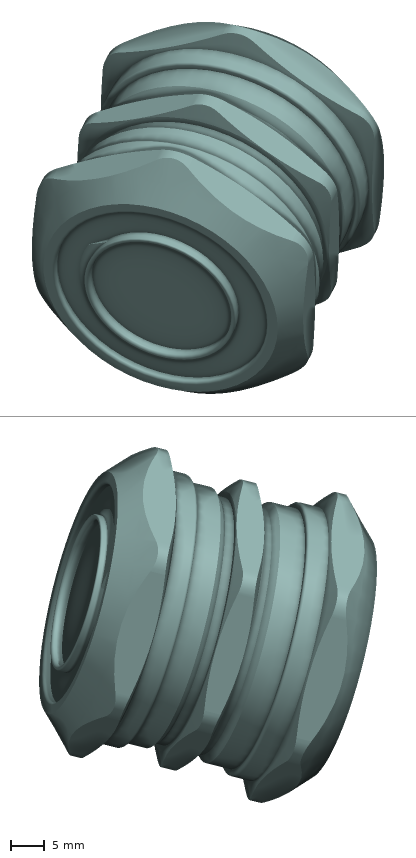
import cadquery as cq
import math


nut_tip_radius = 24.05
nut_across_flats = 43.0
nut_corner_fillet = 5.0
nut_face_depth = 20.3
nut_face_radius = 18.55
nut_inner_depth = 11.95
nut_inner_radius = 20.95
nut_inner_chamfer_length = 1.35

middle_tip_radius = 22.45
middle_across_flats = 40.0
middle_corner_fillet = 4.15
middle_half_width = 2.2
middle_tip_half_width = 1.05
middle_side_radius = 19.9

collar_diameter = 42.0
collar_depth = 8.55
collar_fillet = 0.45
sleeve_diameter = 40.0
sleeve_depth = 3.65
neck_diameter = 38.0
sleeve_chamfer = (sleeve_diameter - neck_diameter) / 2

recess_diameter = 33.5
recess_depth = 1.15
recess_fillet = 0.5
lip_end_depth = 20.755
lip_radius = 12.0
lip_bore_diameter = 22.4
lip_bore_depth = 1.65
lip_outer_fillet = 0.25
lip_inner_fillet = 0.5
floor_depth = nut_face_depth - recess_depth

shoulder_radius = 13.3
shoulder_height = 0.6
shoulder_start_angle = 137
shoulder_arc_start = 153
shoulder_arc_end = 213
shoulder_bend_angle = 228
shoulder_bend_radius = 13.1
shoulder_tail_angle = 245
shoulder_tail_radius = 12.65
shoulder_end_angle = 270


def cylinder(diameter, start_depth, end_depth):
    """Cylinder on the axis between two depths on the -Y side."""
    plane = cq.Workplane("XZ", origin=(0, -start_depth, 0))
    return plane.circle(diameter / 2).extrude(end_depth - start_depth)


def hexagon(across_flats, corner_fillet, start_depth, end_depth):
    """Hexagonal bar with two flats facing +X and -X and rounded corners."""
    plane = cq.Workplane("XZ", origin=(0, -start_depth, 0))
    across_corners = across_flats / math.cos(math.pi / 6)
    bar = plane.transformed(rotate=(0, 0, 30)).polygon(6, across_corners).extrude(end_depth - start_depth)
    return bar.edges("|Y").fillet(corner_fillet)


def turned(points):
    """Solid of revolution about Y from (radius, depth) points."""
    outline = [(radius, -depth) for radius, depth in points]
    return cq.Workplane("XY").polyline(outline).close().revolve(360, (0, 0), (0, 1))


def polar(radius, angle):
    """Point in the end-face plane, with the angle in degrees from +X toward +Z."""
    turn = math.radians(angle)
    return (radius * math.cos(turn), radius * math.sin(turn))


def nut():
    bar = hexagon(nut_across_flats, nut_corner_fillet, nut_inner_depth, nut_face_depth)
    outer_chamfer_depth = nut_face_depth - (nut_tip_radius - nut_face_radius)
    margin = 0.05
    envelope = turned([
        (0, nut_inner_depth),
        (nut_inner_radius, nut_inner_depth),
        (nut_tip_radius + margin, nut_inner_depth + nut_inner_chamfer_length),
        (nut_tip_radius + margin, outer_chamfer_depth - margin),
        (nut_face_radius, nut_face_depth),
        (0, nut_face_depth),
    ])
    pocket = cylinder(recess_diameter, floor_depth, nut_face_depth)
    blank = bar.intersect(envelope).cut(pocket)
    rim = cq.selectors.RadiusNthSelector(0)
    return blank.faces("<Y").edges(rim).fillet(recess_fillet)


def middle_hexagon():
    bar = hexagon(middle_across_flats, middle_corner_fillet, -middle_half_width, middle_half_width)
    margin = 0.05
    envelope = turned([
        (0, -middle_half_width),
        (middle_side_radius, -middle_half_width),
        (middle_tip_radius + margin, -middle_tip_half_width),
        (middle_tip_radius + margin, middle_tip_half_width),
        (middle_side_radius, middle_half_width),
        (0, middle_half_width),
    ])
    return bar.intersect(envelope)


def half_body():
    neck = cylinder(neck_diameter, 0, sleeve_depth)
    sleeve = cylinder(sleeve_diameter, sleeve_depth, collar_depth).faces(">Y").chamfer(sleeve_chamfer)
    collar = cylinder(collar_diameter, collar_depth, nut_inner_depth).faces(">Y").edges().fillet(collar_fillet)
    return neck.union(sleeve).union(collar)


def lip():
    bore_floor_depth = lip_end_depth - lip_bore_depth
    ring = cylinder(2 * lip_radius, bore_floor_depth, lip_end_depth)
    ring = ring.cut(cylinder(lip_bore_diameter, bore_floor_depth, lip_end_depth))
    ring = ring.faces("<Y").edges(cq.selectors.RadiusNthSelector(1)).fillet(lip_outer_fillet)
    return ring.faces("<Y").edges(cq.selectors.RadiusNthSelector(0)).fillet(lip_inner_fillet)


def shoulder():
    cone = turned([
        (lip_bore_diameter / 2, floor_depth),
        (shoulder_radius, floor_depth),
        (lip_radius, floor_depth + shoulder_height),
        (lip_bore_diameter / 2, floor_depth + shoulder_height),
    ])
    arc_middle = (shoulder_arc_start + shoulder_arc_end) / 2
    sector = (
        cq.Workplane("XZ", origin=(0, -floor_depth, 0))
        .moveTo(*polar(lip_radius, shoulder_start_angle))
        .lineTo(*polar(shoulder_radius, shoulder_arc_start))
        .threePointArc(polar(shoulder_radius, arc_middle), polar(shoulder_radius, shoulder_arc_end))
        .lineTo(*polar(shoulder_bend_radius, shoulder_bend_angle))
        .threePointArc(
            polar(shoulder_tail_radius, shoulder_tail_angle),
            polar(lip_radius, shoulder_end_angle),
        )
        .lineTo(0, 0)
        .close()
        .extrude(shoulder_height)
    )
    return cone.intersect(sector).cut(cylinder(lip_bore_diameter, floor_depth, lip_end_depth))


half = half_body().union(nut()).union(lip()).union(shoulder())
far_half = half.rotate((0, 0, 0), (1, 0, 0), 180)
result = half.union(far_half).union(middle_hexagon())